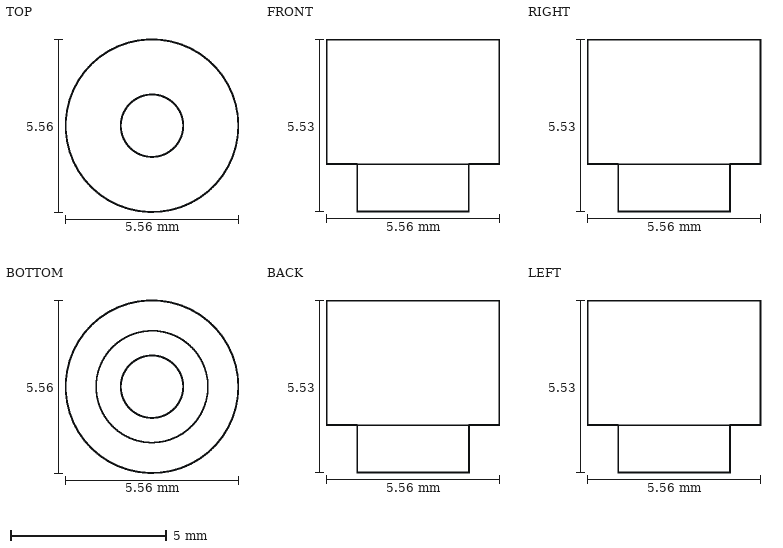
import cadquery as cq

body_diameter = 5.56
spigot_diameter = 3.6
bore_diameter = 2.0
total_height = 5.53
body_height = 4.005
spigot_height = total_height - body_height

spigot = cq.Workplane("XY").circle(spigot_diameter / 2).extrude(spigot_height)
body = (
    cq.Workplane("XY")
    .workplane(offset=spigot_height)
    .circle(body_diameter / 2)
    .extrude(body_height)
)

bore = cq.Workplane("XY").circle(bore_diameter / 2).extrude(total_height)

result = body.union(spigot).cut(bore)